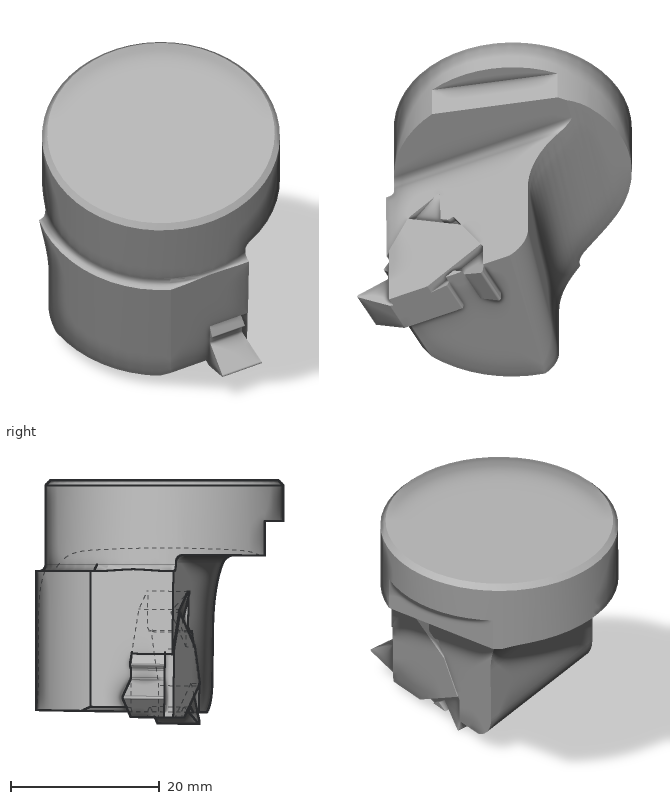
import cadquery as cq
import math


head_radius = 16.0
head_chamfer = 0.7
shank_radius = 17.25
shoulder_z = -12.2
shoulder_blend_width = 0.65
shoulder_blend_height = 0.83
blank_bottom_z = -34.0

relief_x = -3.25
relief_arc_radius = 10.0
relief_arc_center_z = -19.4
relief_slope = math.radians(5)
relief_corner_radius = 4.0
relief_corner_z = -27.45

tool_angle = 15.0
tool_tilt = 0.8
end_z = -31.14
flat_u = 16.2
flat_chamfer = 0.6
front_v = 5.33
front_floor_z = -9.95
front_fillet = 1.0
step_y = 13.5
step_z = -5.5

insert_u = 10.3
insert_z = -25.61
insert_top_v = 5.47
insert_thickness = 5.8
edge_count = 3
tip_radius = 11.1
tip_angle = math.radians(-19)
tip_side_angle = math.radians(30)
corner_z = -6.25
notch_wall_u = 6.15
notch_top_z = 0.25
hook_angle = math.radians(40)
tip_nose = 0.25
hook_nose = 0.2
notch_fillet = 0.35
rake = math.radians(15)
rake_inner_u = 5.5

margin = 20.0


def in_tool_frame(block):
    """Tilt and turn a block drawn with x = u and y = v into place."""
    tilted = block.rotate((0, 0, end_z), (1, 0, end_z), -tool_tilt)
    return tilted.rotate((0, 0, 0), (0, 0, 1), -tool_angle)


def turned_blank():
    neck_z = shoulder_z + shoulder_blend_height
    blend_mid = (
        head_radius + shoulder_blend_width * (1 - math.sqrt(0.5)),
        neck_z - shoulder_blend_height * math.sqrt(0.5),
    )
    blend_end = (head_radius + shoulder_blend_width, shoulder_z)
    return (
        cq.Workplane("XZ")
        .moveTo(0, 0)
        .lineTo(head_radius - head_chamfer, 0)
        .lineTo(head_radius, -head_chamfer)
        .lineTo(head_radius, neck_z)
        .threePointArc(blend_mid, blend_end)
        .lineTo(shank_radius, shoulder_z)
        .lineTo(shank_radius, blank_bottom_z)
        .lineTo(0, blank_bottom_z)
        .close()
        .revolve(360, (0, 0, 0), (0, 1, 0))
    )


def side_relief():
    arc_center_x = relief_x - relief_arc_radius

    def arc_point(angle):
        return (
            arc_center_x + relief_arc_radius * math.cos(angle),
            relief_arc_center_z + relief_arc_radius * math.sin(angle),
        )

    tangent_angle = math.pi / 2 - relief_slope
    tangent_x, tangent_z = arc_point(tangent_angle)
    outer_x = -margin
    outer_z = tangent_z + (tangent_x - outer_x) * math.tan(relief_slope)
    corner_x = relief_x + relief_corner_radius
    corner_mid = relief_corner_radius * math.sqrt(0.5)
    return (
        cq.Workplane("XZ")
        .moveTo(outer_x, outer_z)
        .lineTo(tangent_x, tangent_z)
        .threePointArc(arc_point(tangent_angle / 2), arc_point(0))
        .lineTo(relief_x, relief_corner_z)
        .threePointArc(
            (corner_x - corner_mid, relief_corner_z - corner_mid),
            (corner_x, relief_corner_z - relief_corner_radius),
        )
        .lineTo(corner_x, blank_bottom_z)
        .lineTo(outer_x, blank_bottom_z)
        .close()
        .extrude(margin, both=True)
    )


def front_relief():
    """Room in front of the shank, with a fillet where the wall meets the head."""
    block = (
        cq.Workplane("XY", origin=(0, front_v, front_floor_z))
        .rect(2 * margin, 2 * margin)
        .extrude(blank_bottom_z - front_floor_z)
        .intersect(
            cq.Workplane("XY", origin=(0, front_v + margin, front_floor_z))
            .box(2 * margin, 2 * margin, 4 * margin)
        )
        .edges("<Y and >Z")
        .fillet(front_fillet)
    )
    return in_tool_frame(block)


def head_step():
    return (
        cq.Workplane("XY", origin=(0, step_y + margin, step_z))
        .rect(2 * margin, 2 * margin)
        .extrude(blank_bottom_z - step_z)
    )


def side_flat():
    block = (
        cq.Workplane("XY", origin=(flat_u + margin, 0, shoulder_z + shoulder_blend_height))
        .rect(2 * margin, 4 * margin)
        .extrude(blank_bottom_z - shoulder_z)
    )
    return in_tool_frame(block)


def shank_end():
    """Everything below the end face, and the chamfer where it meets the side flat."""
    chamfer_foot = flat_u - flat_chamfer
    block = (
        cq.Workplane("XZ")
        .moveTo(-margin, end_z)
        .lineTo(chamfer_foot, end_z)
        .lineTo(chamfer_foot + margin, end_z + margin)
        .lineTo(chamfer_foot + margin, end_z - margin)
        .lineTo(-margin, end_z - margin)
        .close()
        .extrude(2 * margin, both=True)
    )
    return in_tool_frame(block)


def insert_prism():
    """Insert outline with its top face at local z = 0, extruded to its thickness."""
    slope = math.tan(tip_side_angle)
    tip = (tip_radius * math.cos(tip_angle), tip_radius * math.sin(tip_angle))
    corner = (tip[0] - (tip[1] - corner_z) / slope, corner_z)
    notch_low = (notch_wall_u, tip[1] + (tip[0] - notch_wall_u) * slope)
    notch_high = (notch_wall_u, notch_top_z)

    side_normal = (math.cos(tip_side_angle), math.sin(tip_side_angle))
    gap = -corner_z - notch_high[0] * side_normal[0] - notch_high[1] * side_normal[1]
    hook_length = gap / math.cos(hook_angle - tip_side_angle)
    hook = (
        notch_high[0] + hook_length * math.cos(hook_angle),
        notch_high[1] + hook_length * math.sin(hook_angle),
    )

    def turned(point, index):
        angle = 2 * math.pi * index / edge_count
        return (
            point[0] * math.cos(angle) - point[1] * math.sin(angle),
            point[0] * math.sin(angle) + point[1] * math.cos(angle),
        )

    sector = [corner, tip, notch_low, notch_high, hook]
    outline = [turned(point, index) for index in range(edge_count) for point in sector]
    prism = cq.Workplane("XY").polyline(outline).close().extrude(insert_thickness)

    rounds = [(tip, tip_nose), (notch_low, notch_fillet), (notch_high, notch_fillet), (hook, hook_nose)]
    for index in range(edge_count):
        for point, radius in rounds:
            x, y = turned(point, index)
            edge = cq.selectors.NearestToPointSelector((x, y, insert_thickness / 2))
            prism = prism.edges("|Z").edges(edge).fillet(radius)
    return prism


def cut_rakes(prism):
    """Slope the top face at each tip along the line that halves the tip."""
    tip_u = tip_radius * math.cos(tip_angle) - tip_nose
    depth = (tip_u - rake_inner_u) * math.tan(rake)
    wedge = (
        cq.Workplane("XZ")
        .polyline([(rake_inner_u, 0), (tip_u, 0), (rake_inner_u, depth)])
        .close()
        .extrude(margin, both=True)
    )
    for index in range(edge_count):
        prism = prism.cut(wedge.rotate((0, 0, 0), (0, 0, 1), index * 360 / edge_count))
    return prism


def placed_at_seat(block):
    """Stand an insert-shaped block up so that its top face points along +v."""
    upright = block.rotate((0, 0, 0), (1, 0, 0), 90)
    return in_tool_frame(upright.translate((insert_u, insert_top_v, insert_z)))


prism = insert_prism()
insert = placed_at_seat(cut_rakes(prism))

holder = (
    turned_blank()
    .cut(side_relief())
    .cut(front_relief())
    .cut(head_step())
    .cut(side_flat())
    .cut(shank_end())
    .cut(placed_at_seat(prism))
)

result = cq.Compound.makeCompound([holder.solids().val(), insert.solids().val()])